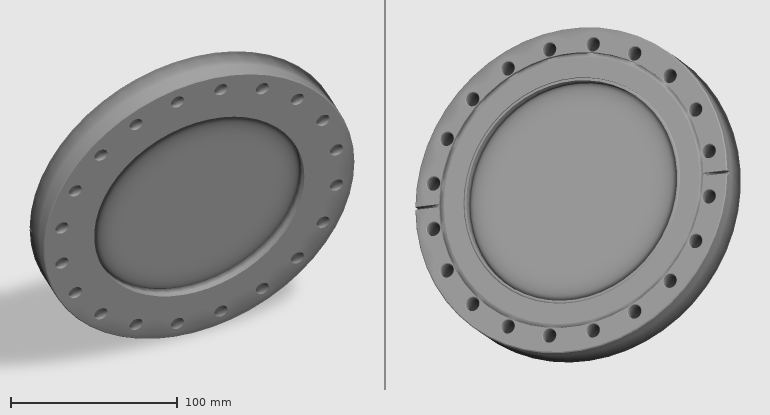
import cadquery as cq
import math

outer_radius = 101.2
thickness = 22.3
rim_chamfer = 0.6
face_x = -thickness / 2
back_x = thickness / 2

recess_radius = 85.6
recess_depth = 2.0
knife_radius = 83.0
knife_slope = 20.0
land_depth = recess_depth - (recess_radius - knife_radius) * math.tan(math.radians(knife_slope))

bolt_count = 20
bolt_step = 2 * math.pi / bolt_count
bolt_circle_radius = 90.5
bolt_hole_radius = 4.3
bolt_hole_chamfer = 0.5

groove_width = 1.8
groove_depth = 3.6
groove_floor_radius = 42.5

bore_radius = 70.2
sleeve_inner_radius = 68.5
sleeve_edge_fillet = 1.0
window_depth = 6.9
window_edge_fillet = 0.6


def disc(radius, start_x, end_x):
    """Solid cylinder about the X axis between two X positions."""
    return cq.Workplane("YZ", origin=(start_x, 0, 0)).circle(radius).extrude(end_x - start_x)


def make_sealing_recess():
    """Material above the recess floor, the knife-edge flank and the inner land."""
    profile = [
        (face_x, 0),
        (face_x, recess_radius),
        (face_x + recess_depth, recess_radius),
        (face_x + land_depth, knife_radius),
        (face_x + land_depth, 0),
    ]
    return cq.Workplane("XY").polyline(profile).close().revolve(360, (0, 0, 0), (1, 0, 0))


def make_bolt_hole(angle):
    """Through hole at an angle from the Y axis, chamfered at the sealing face."""
    centre_y = bolt_circle_radius * math.cos(angle)
    centre_z = bolt_circle_radius * math.sin(angle)
    mouth_radius = bolt_hole_radius + bolt_hole_chamfer
    mouth = cq.Solid.makeCone(
        mouth_radius, bolt_hole_radius, bolt_hole_chamfer, cq.Vector(face_x, 0, 0), cq.Vector(1, 0, 0)
    )
    hole = disc(bolt_hole_radius, face_x, back_x).union(cq.Workplane(mouth))
    return hole.translate((0, centre_y, centre_z))


def make_leak_groove(side):
    """Groove from the recess to the rim; its floor is deepest at the rim."""
    return (
        cq.Workplane("XY", origin=(0, 0, -groove_width / 2))
        .center(face_x + groove_depth - groove_floor_radius, side * outer_radius)
        .circle(groove_floor_radius)
        .extrude(groove_width)
    )


def make_flange():
    flange = disc(outer_radius, face_x, back_x).edges().chamfer(rim_chamfer)
    flange = flange.cut(make_sealing_recess())
    flange = flange.cut(disc(bore_radius, face_x, back_x))
    for index in range(bolt_count):
        flange = flange.cut(make_bolt_hole((index + 0.5) * bolt_step))
    for side in (-1, 1):
        flange = flange.cut(make_leak_groove(side))
    return flange


def make_sleeve():
    sleeve = disc(bore_radius, face_x + land_depth, back_x)
    sleeve = sleeve.faces("<X").edges().fillet(sleeve_edge_fillet)
    return sleeve.cut(disc(sleeve_inner_radius, face_x, back_x))


def make_window():
    window = disc(sleeve_inner_radius, face_x + window_depth, back_x - window_depth)
    return window.edges("%CIRCLE").fillet(window_edge_fillet)


flange = make_flange()
sleeve = make_sleeve()
window = make_window()

result = cq.Compound.makeCompound([flange.val(), sleeve.val(), window.val()])